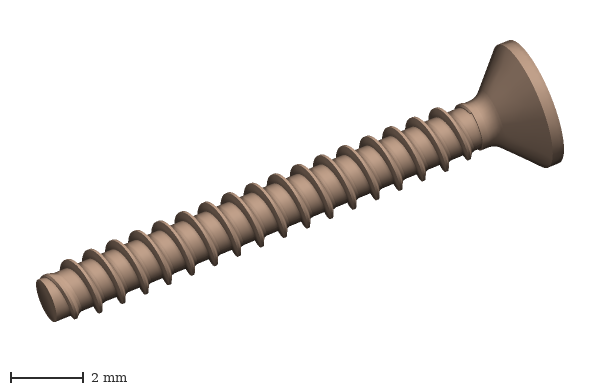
import cadquery as cq
import math

length = 15.0

head_radius = 3.65 / 2
rim_height = 0.35
cone_end_radius = 0.85
cone_slope = math.radians(45)
cone_height = (head_radius - cone_end_radius) / math.tan(cone_slope)

neck_radius = 0.69
neck_end_depth = 1.92

core_radius = 0.63
crest_radius = 0.87
pitch = 12.08 / 17
thread_bottom = 0.16
lower_runout_turns = 1.25
full_turns = 16
upper_runout_turns = 1
lower_end_crest_radius = 0.68
upper_end_crest_radius = neck_radius

root_radius = 0.58
foot_radius = 0.66
profile = [
    (root_radius, -0.12),
    (foot_radius, -0.09),
    (crest_radius, -0.038),
    (crest_radius, 0.038),
    (foot_radius, 0.15),
    (root_radius, 0.38),
]


def make_blank():
    """Head, neck and core as one turned body."""
    cone_top = length - rim_height
    cone_bottom = cone_top - cone_height
    neck_bottom = length - neck_end_depth

    round_radius = (cone_end_radius - neck_radius) / (1 - math.cos(cone_slope))
    neck_top = cone_bottom - round_radius * math.sin(cone_slope)
    round_middle = (
        neck_radius + round_radius * (1 - math.cos(cone_slope / 2)),
        neck_top + round_radius * math.sin(cone_slope / 2),
    )
    return (
        cq.Workplane("XZ")
        .lineTo(core_radius, 0)
        .lineTo(core_radius, neck_bottom)
        .lineTo(neck_radius, neck_bottom)
        .lineTo(neck_radius, neck_top)
        .threePointArc(round_middle, (cone_end_radius, cone_bottom))
        .lineTo(head_radius, cone_top)
        .lineTo(head_radius, length)
        .lineTo(0, length)
        .close()
        .revolve(360, (0, 0), (0, 1))
        .val()
    )


def make_helix(base, radius, height, growth):
    """Helix up from the base point whose radius grows evenly, or stays constant for no growth."""
    if growth == 0:
        return cq.Wire.makeHelix(pitch, height, radius, base).Edges()[0]
    cone_angle = math.atan2(growth, height)
    slant = 1 / math.cos(cone_angle)
    conical = cq.Wire.makeHelix(pitch * slant, height * slant, radius, base, angle=math.degrees(cone_angle))
    return conical.Edges()[0]


def thread_section(start_turn, turns, start_crest, end_crest):
    """Helical ridge over part of the thread, with its crest running from one radius to another."""
    height = turns * pitch
    start_height = thread_bottom + start_turn * pitch
    start_angle = 180 + 360 * start_turn

    helices = []
    for radius, offset in profile:
        base = cq.Vector(0, 0, start_height + offset)
        if radius == crest_radius:
            helices.append(make_helix(base, start_crest, height, end_crest - start_crest))
        else:
            helices.append(make_helix(base, radius, height, 0))
    following = helices[1:] + helices[:1]
    faces = [cq.Face.makeRuledSurface(a, b) for a, b in zip(helices, following)]
    for parameter in (0, 1):
        corners = [helix.positionAt(parameter) for helix in helices]
        faces.append(cq.Face.makeFromWires(cq.Wire.makePolygon(corners, close=True)))
    ridge = cq.Solid.makeSolid(cq.Shell.makeShell(faces))
    return ridge.rotate(cq.Vector(0, 0, 0), cq.Vector(0, 0, 1), start_angle)


def make_thread():
    """Lower run-out, full thread and upper run-out."""
    upper_start = lower_runout_turns + full_turns
    return [
        thread_section(0, lower_runout_turns, lower_end_crest_radius, crest_radius),
        thread_section(lower_runout_turns, full_turns, crest_radius, crest_radius),
        thread_section(upper_start, upper_runout_turns, crest_radius, upper_end_crest_radius),
    ]


screw = make_blank().fuse(*make_thread()).Solids()[0]

result = cq.Workplane("XY").newObject([screw]).rotate((0, 0, 0), (1, 0, 0), -90)